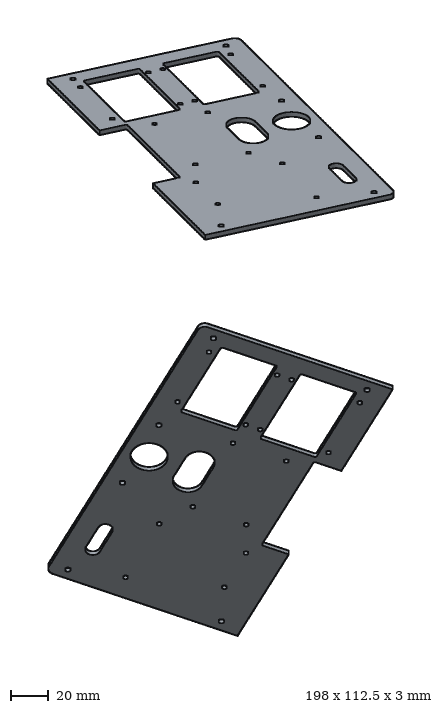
import cadquery as cq

length = 198.0
width = 112.5
thickness = 3.0
corner_radius = 4.0
center_x = length / 2

notch_length = 67.0
notch_depth = 16.0
notch_radius = 1.0

window_length = 51.9
window_width = 32.9
window_radius = 1.0
window_x = 36.2
lower_window_y = 32.9
upper_window_y = 79.4
window_hole_pitch = 40.0
window_hole_shift = 1.0

round_opening_diameter = 20.0
round_opening_y = 97.5
large_slot_length = 30.9
large_slot_width = 16.5
large_slot_y = 71.3
small_slot_length = 24.0
small_slot_width = 8.1
small_slot_center = (165.0, 96.5)

small_hole_diameter = 2.5
large_hole_diameter = 3.0
corner_hole_inset_x = 6.1
corner_holes_y = [12.3, 102.4]
upper_pair_pitch = 46.3
screw_rectangle_left_x = 71.3
screw_rectangle_right_x = 122.4
screw_rectangle_rows_y = [29.7, 61.0]
right_group_left_x = 141.2
right_group_lower_y = 21.2
right_group_upper_y = 72.0
right_group_lower_right_x = 168.7
right_group_upper_right_x = 184.1


def through_cutter(sketch):
    """Extrude an XY outline through the whole plate."""
    return sketch.extrude(thickness)


def round_holes(points, diameter):
    return through_cutter(cq.Workplane().pushPoints(points).circle(diameter / 2))


def slot(center, slot_length, slot_width):
    return through_cutter(cq.Workplane().center(*center).slot2D(slot_length, slot_width))


def window(center_y):
    opening = cq.Workplane().center(window_x, center_y).rect(window_length, window_width)
    return through_cutter(opening).edges("|Z").fillet(window_radius)


def plate():
    blank = cq.Workplane().rect(length, width, centered=False).extrude(thickness)
    blank = blank.edges("|Z and >Y").fillet(corner_radius)
    notch = cq.Workplane().center(center_x, 0).rect(notch_length, 2 * notch_depth)
    notch_cutter = through_cutter(notch).edges("|Z and >Y").fillet(notch_radius)
    return blank.cut(notch_cutter)


def window_hole_points(center_y):
    half = window_hole_pitch / 2
    return [(window_x + dx, center_y + dy) for dx in (-half, half) for dy in (-half, half)]


result = plate()

for window_y, hole_shift in (
    (lower_window_y, -window_hole_shift),
    (upper_window_y, window_hole_shift),
):
    result = result.cut(window(window_y))
    result = result.cut(round_holes(window_hole_points(window_y + hole_shift), small_hole_diameter))

result = result.cut(round_holes([(center_x, round_opening_y)], round_opening_diameter))
result = result.cut(slot((center_x, large_slot_y), large_slot_length, large_slot_width))
result = result.cut(slot(small_slot_center, small_slot_length, small_slot_width))

mounting_points = [
    (x, y) for x in (corner_hole_inset_x, length - corner_hole_inset_x) for y in corner_holes_y
]
mounting_points += [(center_x + side * upper_pair_pitch / 2, corner_holes_y[1]) for side in (-1, 1)]
result = result.cut(round_holes(mounting_points, large_hole_diameter))

screw_points = [
    (x, y)
    for x in (screw_rectangle_left_x, screw_rectangle_right_x)
    for y in screw_rectangle_rows_y
]
screw_points += [
    (right_group_left_x, right_group_lower_y),
    (right_group_left_x, right_group_upper_y),
    (right_group_lower_right_x, right_group_lower_y),
    (right_group_upper_right_x, right_group_upper_y),
]
result = result.cut(round_holes(screw_points, small_hole_diameter))